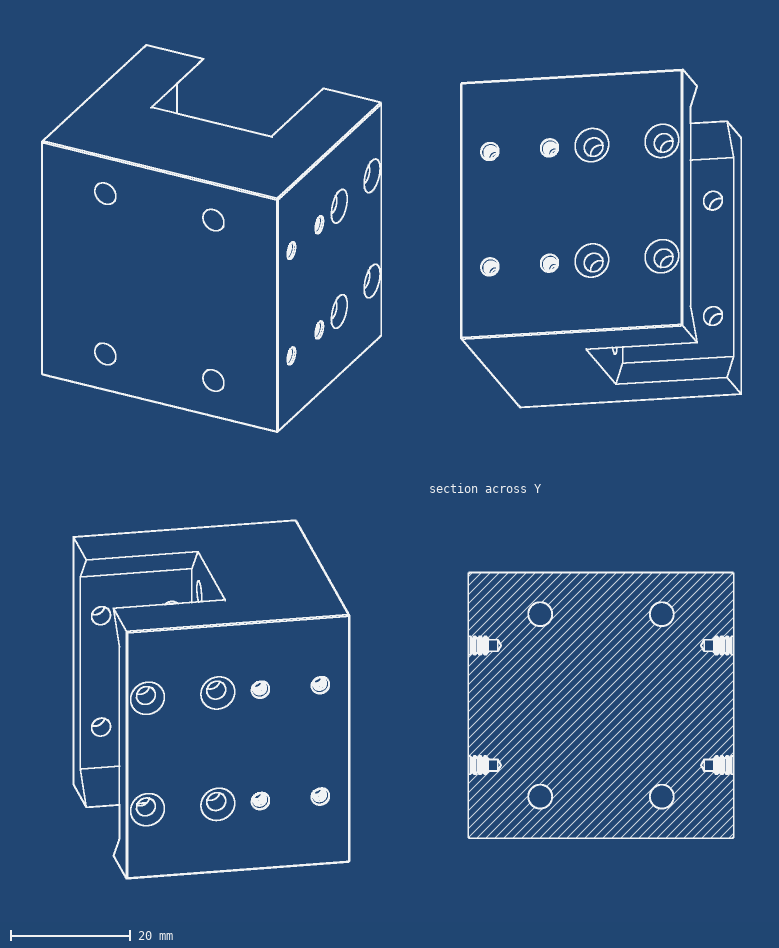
import cadquery as cq

SIDE = 44.45
DEPTH = 38.1
EDGE_CHAMFER = 0.22

SLOT_WIDTH = 22.5
POCKET_BEVEL = 5.0
POCKET_WIDTH = SLOT_WIDTH + 2 * POCKET_BEVEL
POCKET_DEPTH = DEPTH / 2

FRONT_HOLE_DIAMETER = 3.95
FRONT_HOLE_PITCH_X = 20.3
FRONT_HOLE_PITCH_Z = 30.5

SIDE_ROW_PITCH_Z = 20.0

SCREW_HOLE_FROM_BACK = 3.55
SCREW_HOLE_PITCH_Y = 12.0
SCREW_HOLE_RADIUS = 1.6
COUNTERSINK_RADIUS = 2.9
COUNTERSINK_DEPTH = COUNTERSINK_RADIUS - SCREW_HOLE_RADIUS
ARM_THICKNESS = (SIDE - POCKET_WIDTH) / 2

TAPPED_HOLE_FROM_FRONT = 5.02
TAPPED_HOLE_PITCH_Y = 10.22
THREAD_MAJOR_RADIUS = 1.5
THREAD_MINOR_RADIUS = 1.1
THREAD_MOUTH_LENGTH = 0.35
THREAD_FLANK_LENGTH = 0.25
THREAD_ROOT_LENGTH = 0.22
THREAD_CREST_LENGTH = 0.15
THREAD_GROOVES = 4
DRILL_RADIUS = 0.95
DRILL_DEPTH = 5.0
DRILL_TIP_LENGTH = 0.55


def chamfered_block():
    """Block with every outer edge broken except the top and bottom back edges."""
    block = cq.Workplane("XY").box(SIDE, DEPTH, SIDE).translate((0, DEPTH / 2, 0))
    return block.faces("<Y or <X or >X").edges().chamfer(EDGE_CHAMFER)


def pocket():
    """Bevelled pocket, open at the back."""
    return (
        cq.Workplane("XY")
        .box(POCKET_WIDTH, POCKET_DEPTH, SIDE)
        .edges("|Y")
        .chamfer(POCKET_BEVEL)
        .translate((0, DEPTH - POCKET_DEPTH / 2, 0))
    )


def front_holes():
    """Cutters for the four holes running front to back."""
    return (
        cq.Workplane("XZ")
        .rarray(FRONT_HOLE_PITCH_X, FRONT_HOLE_PITCH_Z, 2, 2)
        .circle(FRONT_HOLE_DIAMETER / 2)
        .extrude(-DEPTH)
    )


def screw_hole_profile():
    """Half section of a countersunk hole as (depth, radius) points."""
    return [
        (0, 0),
        (0, COUNTERSINK_RADIUS),
        (COUNTERSINK_DEPTH, SCREW_HOLE_RADIUS),
        (ARM_THICKNESS, SCREW_HOLE_RADIUS),
        (ARM_THICKNESS, 0),
    ]


def tapped_hole_profile():
    """Half section of a tapped blind hole as (depth, radius) points."""
    points = [(0, 0), (0, THREAD_MAJOR_RADIUS)]
    root_end = THREAD_MOUTH_LENGTH
    for groove in range(THREAD_GROOVES):
        crest_start = root_end + THREAD_FLANK_LENGTH
        crest_end = crest_start + THREAD_CREST_LENGTH
        points.append((root_end, THREAD_MAJOR_RADIUS))
        points.append((crest_start, THREAD_MINOR_RADIUS))
        points.append((crest_end, THREAD_MINOR_RADIUS))
        if groove < THREAD_GROOVES - 1:
            root_start = crest_end + THREAD_FLANK_LENGTH
            points.append((root_start, THREAD_MAJOR_RADIUS))
            root_end = root_start + THREAD_ROOT_LENGTH
    points.append((crest_end, DRILL_RADIUS))
    points.append((DRILL_DEPTH, DRILL_RADIUS))
    points.append((DRILL_DEPTH + DRILL_TIP_LENGTH, 0))
    return points


def cut_side_holes(body, profile, first_y, second_y):
    """Cut one kind of hole at two Y places, in both rows and both X sides."""
    hole = cq.Workplane("XY").polyline(profile).close().revolve(360, (0, 0), (1, 0))
    for y in (first_y, second_y):
        for z in (-SIDE_ROW_PITCH_Z / 2, SIDE_ROW_PITCH_Z / 2):
            left_hole = hole.translate((-SIDE / 2, y, z))
            body = body.cut(left_hole).cut(left_hole.mirror("YZ"))
    return body


result = chamfered_block().cut(pocket()).cut(front_holes())

back_screw_y = DEPTH - SCREW_HOLE_FROM_BACK
result = cut_side_holes(
    result, screw_hole_profile(), back_screw_y, back_screw_y - SCREW_HOLE_PITCH_Y
)
result = cut_side_holes(
    result,
    tapped_hole_profile(),
    TAPPED_HOLE_FROM_FRONT,
    TAPPED_HOLE_FROM_FRONT + TAPPED_HOLE_PITCH_Y,
)